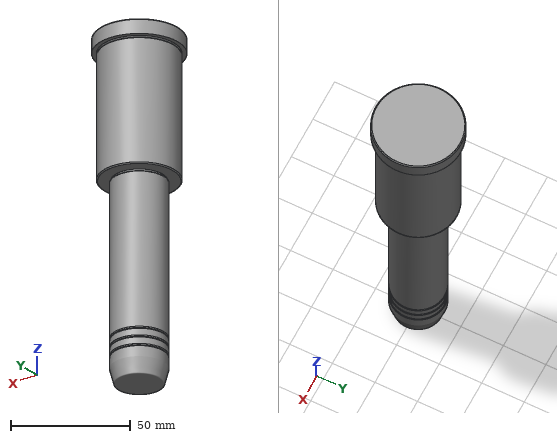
import cadquery as cq
import math

total_length = 160.0
head_height = 7.0
body_length = 59.0
nose_length = 7.0
nose_half_angle = 15.0

head_diameter = 40.0
body_diameter = 36.0
shaft_diameter = 25.0

head_chamfer = 0.5
body_chamfer = 0.5
tip_fillet = 0.5

head_relief_width = 1.0
head_relief_depth = 0.5

neck_length = 1.0
neck_depth = 0.5

groove_count = 3
groove_pitch = 4.0
lowest_groove_z = 12.5
groove_width = 1.0
groove_depth = 0.25

head_bottom_z = total_length - head_height
body_bottom_z = head_bottom_z - body_length


def cylinder(diameter, bottom_z, top_z):
    """Solid cylinder on the Z axis between two levels."""
    return cq.Workplane("XY").workplane(offset=bottom_z).circle(diameter / 2).extrude(top_z - bottom_z)


def ring_groove(outer_diameter, depth, bottom_z, width):
    """Ring to be cut from a cylinder of the given outer diameter."""
    groove_floor = cylinder(outer_diameter - 2 * depth, bottom_z, bottom_z + width)
    return cylinder(outer_diameter, bottom_z, bottom_z + width).cut(groove_floor)


def vee_groove(outer_diameter, center_z, width, depth):
    """Ring of triangular section that tapers inward from a cylinder surface."""
    outer_radius = outer_diameter / 2
    return (
        cq.Workplane("XZ")
        .moveTo(outer_radius, center_z - width / 2)
        .lineTo(outer_radius - depth, center_z)
        .lineTo(outer_radius, center_z + width / 2)
        .close()
        .revolve(360, (0, 0, 0), (0, 1, 0))
    )


def make_head():
    head = cylinder(head_diameter, head_bottom_z, total_length)
    return head.faces(">Z").edges().chamfer(head_chamfer)


def make_body():
    body = cylinder(body_diameter, body_bottom_z, head_bottom_z)
    body = body.faces("<Z").edges().chamfer(body_chamfer)
    relief_z = head_bottom_z - head_relief_width / 2
    return body.cut(vee_groove(body_diameter, relief_z, head_relief_width, head_relief_depth))


def make_shaft():
    shaft = cylinder(shaft_diameter, nose_length, body_bottom_z)
    neck_z = body_bottom_z - neck_length
    shaft = shaft.cut(ring_groove(shaft_diameter, neck_depth, neck_z, neck_length))
    for index in range(groove_count):
        groove_z = lowest_groove_z + index * groove_pitch
        shaft = shaft.cut(vee_groove(shaft_diameter, groove_z, groove_width, groove_depth))
    return shaft


def make_nose():
    """Conical lead-in that narrows downward from the shaft."""
    shaft_radius = shaft_diameter / 2
    tip_radius = shaft_radius - nose_length * math.tan(math.radians(nose_half_angle))
    nose = (
        cq.Workplane("XZ")
        .moveTo(0, nose_length)
        .lineTo(shaft_radius, nose_length)
        .lineTo(tip_radius, 0)
        .lineTo(0, 0)
        .close()
        .revolve(360, (0, 0, 0), (0, 1, 0))
    )
    return nose.faces("<Z").edges().fillet(tip_fillet)


result = make_head().union(make_body()).union(make_shaft()).union(make_nose())